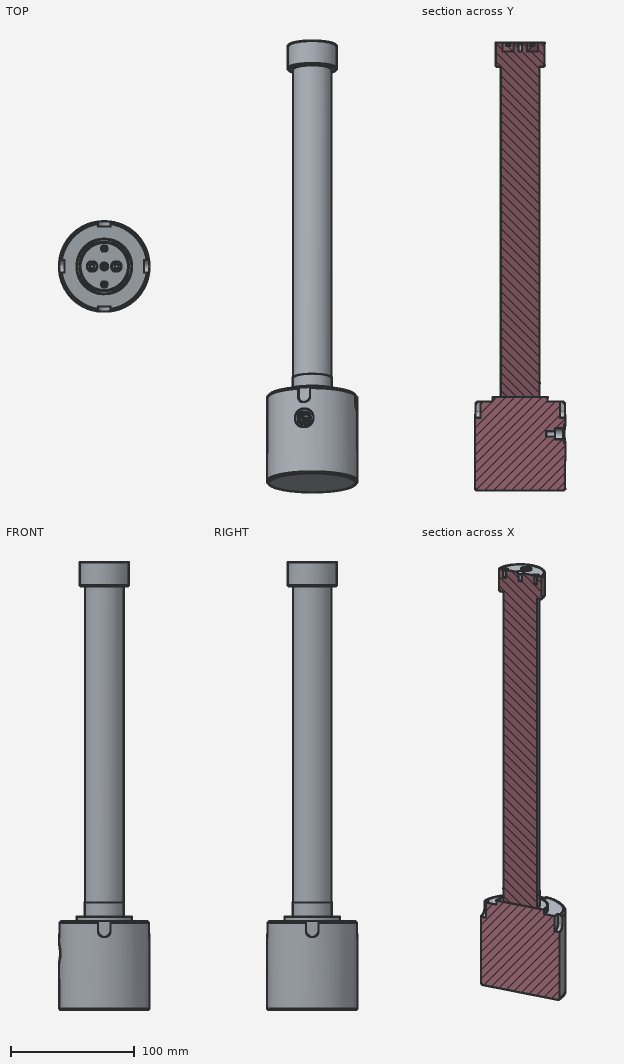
import cadquery as cq
import math

base_diameter = 73.0
base_height = 72.0
base_top_chamfer = 1.8
base_bottom_chamfer = 1.5
flange_diameter = 45.0
flange_height = 3.5
flange_chamfer = 0.55

notch_count = 4
notch_width = 10.0
notch_depth = 4.5
notch_height = 13.0

side_hole_height = 46.0
spotface_diameter = 15.2
spotface_depth = 1.0
side_bore_diameter = 8.7
side_bore_depth = 7.2
side_bore_chamfer = 1.0
side_pilot_diameter = 4.5
side_pilot_depth = 14.5

total_height = 362.0
foot_diameter = 32.0
foot_top = 87.0
rod_diameter = 31.5
head_diameter = 40.0
head_height = 20.0
head_top_chamfer = 0.7
head_bottom_chamfer = 1.0

center_hole_diameter = 2.5
center_sink_diameter = 6.0
pin_hole_diameter = 2.0
pin_sink_diameter = 5.0
pin_hole_offset = 14.5
top_hole_depth = 7.2

screw_offset = 9.8
screw_diameter = 8.5
screw_length = 7.2
screw_chamfer = 0.5
socket_width = 3.3
socket_depth = 3.0

base_radius = base_diameter / 2
screw_points = [(-screw_offset, 0), (screw_offset, 0)]
pin_points = [(0, -pin_hole_offset), (0, pin_hole_offset)]


def cylinder(diameter, bottom, top):
    """A vertical cylinder on the Z axis between two heights."""
    return cq.Workplane("XY").workplane(offset=bottom).circle(diameter / 2).extrude(top - bottom)


def make_notch(turn):
    """Cutter for one rim notch, open at the top and round at the bottom."""
    half_width = notch_width / 2
    notch_bottom = base_height - notch_height
    arc_start = notch_bottom + half_width
    return (
        cq.Workplane("YZ").workplane(offset=base_radius - notch_depth)
        .moveTo(-half_width, base_height)
        .lineTo(-half_width, arc_start)
        .threePointArc((0, notch_bottom), (half_width, arc_start))
        .lineTo(half_width, base_height)
        .close()
        .extrude(notch_depth)
        .rotate((0, 0, 0), (0, 0, 1), turn)
    )


def make_side_hole():
    """Cutter for the spotface, the chamfered bore and the pilot hole behind it."""
    seat_x = spotface_depth - base_radius
    bore_radius = side_bore_diameter / 2
    seat = cq.Workplane("YZ", origin=(seat_x, 0, side_hole_height))
    spotface = seat.circle(spotface_diameter / 2).extrude(-spotface_depth)
    bore = seat.circle(bore_radius).extrude(side_bore_depth)
    pilot = seat.circle(side_pilot_diameter / 2).extrude(side_pilot_depth)
    mouth = cq.Workplane(cq.Solid.makeCone(
        bore_radius + side_bore_chamfer, bore_radius, side_bore_chamfer,
        pnt=cq.Vector(seat_x, 0, side_hole_height), dir=cq.Vector(1, 0, 0),
    ))
    return spotface.union(bore).union(pilot).union(mouth)


def make_base():
    block = (
        cylinder(base_diameter, 0, base_height)
        .faces(">Z").chamfer(base_top_chamfer)
        .faces("<Z").chamfer(base_bottom_chamfer)
    )
    flange = (
        cylinder(flange_diameter, base_height, base_height + flange_height)
        .faces(">Z").chamfer(flange_chamfer)
    )
    base = block.union(flange)
    for i in range(notch_count):
        base = base.cut(make_notch(i * 360 / notch_count))
    return base.cut(make_side_hole())


def make_top_hole(x, y, diameter, sink_diameter):
    """Cutter for a blind hole with a 90 degree countersink in the top of the head."""
    sink_depth = (sink_diameter - diameter) / 2
    sink = cq.Workplane(cq.Solid.makeCone(
        diameter / 2, sink_diameter / 2, sink_depth,
        pnt=cq.Vector(x, y, total_height - sink_depth),
    ))
    hole = cq.Workplane("XY", origin=(x, y, total_height)).circle(diameter / 2).extrude(-top_hole_depth)
    return hole.union(sink)


def make_spindle():
    foot = cylinder(foot_diameter, base_height + flange_height, foot_top)
    rod = cylinder(rod_diameter, foot_top, total_height - head_height)
    head = (
        cylinder(head_diameter, total_height - head_height, total_height)
        .faces(">Z").chamfer(head_top_chamfer)
        .faces("<Z").chamfer(head_bottom_chamfer)
    )
    top = cq.Workplane("XY", origin=(0, 0, total_height))
    screw_holes = top.pushPoints(screw_points).circle(screw_diameter / 2).extrude(-screw_length)
    spindle = (
        foot.union(rod).union(head)
        .cut(make_top_hole(0, 0, center_hole_diameter, center_sink_diameter))
        .cut(screw_holes)
    )
    for x, y in pin_points:
        spindle = spindle.cut(make_top_hole(x, y, pin_hole_diameter, pin_sink_diameter))
    return spindle


def make_screw(x, y):
    socket_corner_diameter = socket_width / math.cos(math.pi / 6)
    return (
        cq.Workplane("XY", origin=(x, y, total_height - screw_length))
        .circle(screw_diameter / 2).extrude(screw_length)
        .faces(">Z").chamfer(screw_chamfer)
        .faces(">Z").workplane()
        .transformed(rotate=(0, 0, 30))
        .polygon(6, socket_corner_diameter).cutBlind(-socket_depth)
    )


base = make_base()
spindle = make_spindle()
screws = [make_screw(x, y).val() for x, y in screw_points]

result = cq.Compound.makeCompound([base.val(), spindle.val(), *screws])